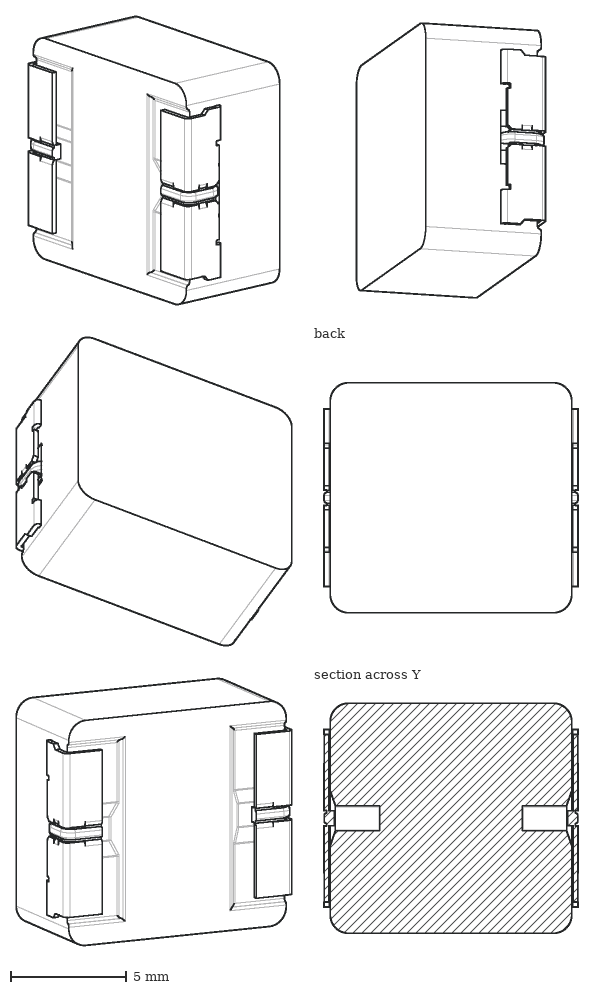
import cadquery as cq
import math


overall_x = 11.02
overall_y = 5.41
overall_z = 10.0

edge_margin = 0.01

body_half_x = 5.25
body_bottom = 0.18
body_corner_radius = 0.82

recess_inner_x = 2.58
recess_half_z = 4.01
recess_depth = 0.18
recess_end_draft = 51.0
recess_side_draft = 25.0
recess_edge_radius = 0.14
recess_floor = body_bottom + recess_depth

channel_depth = 0.23
channel_mouth_half_z = 1.19
channel_floor_half_z = 0.53
channel_floor = recess_floor + channel_depth

terminal_x = overall_x / 2
sheet_thickness = 0.22
pad_end_x = 3.71
terminal_top = 2.01
tongue_end_x = 4.85
leg_bend_radius = 0.215

leg_inner_z = 0.33
pad_outer_z = 3.64
leg_outer_z = 3.86
leg_shoulder_y = terminal_top - sheet_thickness
leg_flare_start_y = 0.98
leg_flare_end_y = 1.17
tongue_inner_z = 2.36
relief_inner_z = 2.14
relief_bottom_y = 1.64
relief_corner_radius = 0.05
leg_corner_chamfer = 0.19

web_inset = 0.11
web_inner_inset = 0.46
web_bend_radius = 0.43
rib_half_width = 0.23
rib_edge_radius = 0.12
rib_foot_bend_radius = 0.48
rib_top_bend_radius = 0.54

roll_start_z = 0.53
roll_radius = 0.24
side_roll_bottom_y = 0.67
side_roll_top_y = 1.11
pad_roll_outer_x = 4.54


def prism_along_z(points, half_length):
    """Extrude an XY outline to both sides of the Z = 0 plane."""
    return cq.Workplane("XY").polyline(points).close().extrude(half_length, both=True)


def prism_along_x(points):
    """Extrude a YZ outline over the +X half of the part."""
    return cq.Workplane("YZ").polyline(points).close().extrude(overall_x)


def underside_pocket(floor_y, floor_half_z, mouth_y, mouth_half_z):
    """Pocket cutter with a drafted inner end, drafted sides and an open outer end."""
    end_shift = (floor_y - body_bottom) * math.tan(math.radians(recess_end_draft))
    lengthwise = prism_along_z(
        [
            (recess_inner_x, body_bottom),
            (recess_inner_x + end_shift, floor_y),
            (overall_x, floor_y),
            (overall_x, body_bottom),
        ],
        overall_z,
    )
    crosswise = prism_along_x(
        [
            (mouth_y, -mouth_half_z),
            (floor_y, -floor_half_z),
            (floor_y, floor_half_z),
            (mouth_y, mouth_half_z),
        ]
    )
    return lengthwise.intersect(crosswise)


def make_recess():
    """Wide shallow recess with the deeper clearance channel and rounded floor edges."""
    side_shift = recess_depth * math.tan(math.radians(recess_side_draft))
    wide = underside_pocket(recess_floor, recess_half_z - side_shift, body_bottom, recess_half_z)
    channel = underside_pocket(channel_floor, channel_floor_half_z, recess_floor, channel_mouth_half_z)
    recess = wide.union(channel)
    floor_edges = cq.selectors.BoxSelector(
        (recess_inner_x, recess_floor - edge_margin, -overall_z),
        (overall_x - edge_margin, overall_y, overall_z),
    )
    return recess.edges(floor_edges).fillet(recess_edge_radius)


def make_end_channel():
    """Clearance channel up the body end, tapering in from the end face."""
    floor_x = body_half_x - channel_depth
    outline = [
        (body_half_x, -channel_mouth_half_z),
        (floor_x, -channel_floor_half_z),
        (floor_x, channel_floor_half_z),
        (body_half_x, channel_mouth_half_z),
    ]
    return cq.Workplane("XZ").polyline(outline).close().extrude(-terminal_top)


def make_body():
    body = (
        cq.Workplane("XZ", origin=(0, body_bottom, 0))
        .rect(2 * body_half_x, overall_z)
        .extrude(-(overall_y - body_bottom))
        .edges("|Y")
        .fillet(body_corner_radius)
    )
    recess = make_recess()
    body = body.cut(recess).cut(recess.mirror("YZ"))
    rim_half_z = recess_half_z + edge_margin
    for side in (-1, 1):
        rim = cq.selectors.BoxSelector(
            (side * (recess_inner_x - edge_margin), body_bottom - edge_margin, -rim_half_z),
            (side * (body_half_x - edge_margin), body_bottom + edge_margin, rim_half_z),
        )
        body = body.edges(rim).fillet(recess_edge_radius)
    end_channel = make_end_channel()
    return body.cut(end_channel).cut(end_channel.mirror("YZ"))


def bent_strip(outer_inset, inner_inset, half_width, foot_radius, top_radius):
    """Strip along the pad, up the body end and into the body, set in from the terminal's outside."""
    outer_x = terminal_x - outer_inset
    outer_top = terminal_top - outer_inset
    inner_x = terminal_x - inner_inset
    inner_top = terminal_top - inner_inset
    outline = [
        (pad_end_x, outer_inset),
        (outer_x, outer_inset),
        (outer_x, outer_top),
        (tongue_end_x, outer_top),
        (tongue_end_x, inner_top),
        (inner_x, inner_top),
        (inner_x, inner_inset),
        (pad_end_x, inner_inset),
    ]
    strip = prism_along_z(outline, half_width)
    foot_edge = cq.selectors.NearestToPointSelector((outer_x, outer_inset, 0))
    top_edge = cq.selectors.NearestToPointSelector((outer_x, outer_top, 0))
    return strip.edges(foot_edge).fillet(foot_radius).edges(top_edge).fillet(top_radius)


def roll_cutter(plane, depth_sign, start, length):
    """Material removed outside one rolled leg edge; the outline is drawn in (depth, z)."""
    web_z = roll_start_z - math.sqrt(roll_radius**2 - (roll_radius - web_inset) ** 2)
    mid_angle = math.acos(1 - web_inset / roll_radius) / 2
    mid_point = (
        depth_sign * roll_radius * (1 - math.cos(mid_angle)),
        roll_start_z - roll_radius * math.sin(mid_angle),
    )
    return (
        cq.Workplane(plane, origin=start)
        .moveTo(0, roll_start_z)
        .threePointArc(mid_point, (depth_sign * web_inset, web_z))
        .lineTo(0, web_z)
        .close()
        .extrude(length)
    )


def make_leg():
    """Leg on the +Z side: bent sheet trimmed to its outline."""
    outline = [
        (0, leg_inner_z),
        (0, pad_outer_z),
        (leg_flare_start_y, pad_outer_z),
        (leg_flare_end_y, leg_outer_z),
        (terminal_top, leg_outer_z),
        (terminal_top, tongue_inner_z),
        (relief_bottom_y, tongue_inner_z),
        (relief_bottom_y, relief_inner_z),
        (leg_shoulder_y, relief_inner_z),
        (leg_shoulder_y, leg_inner_z + leg_corner_chamfer),
        (leg_shoulder_y - leg_corner_chamfer, leg_inner_z),
    ]
    sheet_strip = bent_strip(0, sheet_thickness, leg_outer_z, leg_bend_radius, leg_bend_radius)
    relief_corners = cq.selectors.BoxSelector(
        (0, relief_bottom_y - edge_margin, relief_inner_z - edge_margin),
        (overall_x, relief_bottom_y + edge_margin, tongue_inner_z + edge_margin),
    )
    trim = prism_along_x(outline).edges("|X").edges(relief_corners).fillet(relief_corner_radius)
    leg = sheet_strip.intersect(trim)
    pad_roll = roll_cutter("YZ", 1, (pad_end_x, 0, 0), pad_roll_outer_x - pad_end_x)
    side_roll_start = (terminal_x, side_roll_bottom_y, 0)
    side_roll = roll_cutter("XZ", -1, side_roll_start, side_roll_bottom_y - side_roll_top_y)
    return leg.cut(pad_roll).cut(side_roll)


def make_web():
    """Pressed-in strip joining the two legs, ending below the leg corner chamfers."""
    web = bent_strip(web_inset, web_inner_inset, leg_inner_z, web_bend_radius, web_bend_radius)
    web_top = leg_shoulder_y - leg_corner_chamfer
    keep = cq.Workplane("XY").box(overall_x, web_top, overall_z, centered=(False, False, True))
    return web.intersect(keep)


def make_rib():
    """Rib standing on the web, rounded along both outer edges."""
    rib = bent_strip(0, web_inner_inset, rib_half_width, rib_foot_bend_radius, rib_top_bend_radius)
    outer_edges = rib.faces("<Y or >X or >Y").edges("not |Z")
    return outer_edges.fillet(rib_edge_radius)


def make_terminal():
    leg = make_leg()
    return make_web().union(make_rib()).union(leg).union(leg.mirror("XY"))


terminal = make_terminal()
result = make_body().union(terminal).union(terminal.mirror("YZ"))